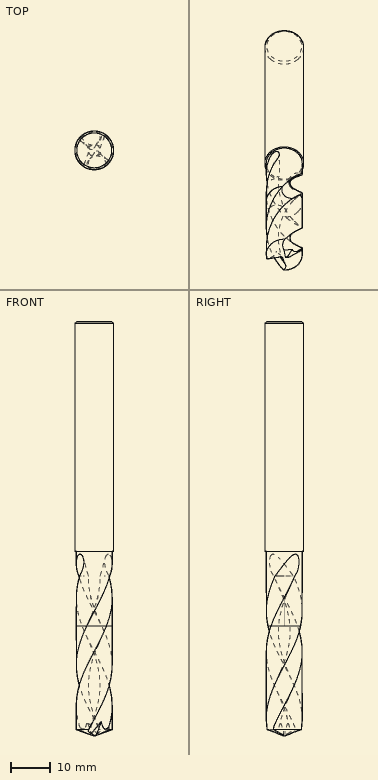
import cadquery as cq
import math

total_length = 106.0
shank_diameter = 10.0
drill_diameter = 9.2
drill_radius = drill_diameter / 2
shank_start = 47.3
cutting_length = 28.2
shank_chamfer = 0.5
point_angle = 140.0
point_height = drill_radius / math.tan(math.radians(point_angle / 2))

flute_count = 2
flute_pitch = 55.1
flute_start_angle = 275.0
core_radius = 1.5
flute_radius = 2.5
flute_offset = core_radius + flute_radius
helix_end = 40.9
runout_end = 46.5
runout_turn = 36.0

gash_ridge_start = cq.Vector(1.0, -0.2, 1.3)
gash_ridge_direction = cq.Vector(1.0, -0.9, 3.0)
gash_length = 3.0
gash_flank_angle = 60.0
gash_depth = 14.8


def make_flute(start_angle):
    """Return the cutter of one flute: a twisted round bar and a straight rising run-out."""
    twist = 360 * helix_end / flute_pitch
    start_circle = cq.Wire.makeCircle(
        flute_radius, cq.Vector(flute_offset, 0, 0), cq.Vector(0, 0, 1)
    )
    helix = cq.Solid.extrudeLinearWithRotation(
        start_circle, [], cq.Vector(0, 0, 0), cq.Vector(0, 0, helix_end), twist
    ).rotate(cq.Vector(0, 0, 0), cq.Vector(0, 0, 1), start_angle)

    rise = runout_end - helix_end
    exit_distance = drill_radius + flute_radius
    outward = exit_distance * math.cos(math.radians(runout_turn)) - flute_offset
    sideways = exit_distance * math.sin(math.radians(runout_turn))
    end_circle = cq.Wire.makeCircle(
        flute_radius, cq.Vector(flute_offset, 0, helix_end), cq.Vector(0, 0, 1)
    )
    runout = cq.Solid.extrudeLinear(
        end_circle, [], cq.Vector(outward, sideways, rise)
    ).rotate(cq.Vector(0, 0, 0), cq.Vector(0, 0, 1), start_angle + twist)
    return helix, runout


def cut_flutes(body):
    for index in range(flute_count):
        for cutter in make_flute(flute_start_angle + index * 360 / flute_count):
            body = body.cut(cq.Workplane(cutter))
    return body


def make_gash():
    """Return the cutter of the gash on the -Y side."""
    flank_width = gash_depth / math.tan(math.radians(gash_flank_angle))
    wall_foot = gash_ridge_start - cq.Vector(0, 0, gash_depth)
    flank_foot = wall_foot - cq.Vector(flank_width, 0, 0)
    profile = cq.Wire.makePolygon([gash_ridge_start, flank_foot, wall_foot], close=True)
    sweep = gash_ridge_direction * (gash_length / abs(gash_ridge_direction.y))
    return cq.Workplane(cq.Solid.extrudeLinear(profile, [], sweep))


def cut_gashes(body):
    gash = make_gash()
    for index in range(flute_count):
        body = body.cut(gash.rotate((0, 0, 0), (0, 0, 1), index * 360 / flute_count))
    return body


def make_cutting_part():
    body = (
        cq.Workplane("XZ")
        .polyline([
            (0, 0),
            (drill_radius, point_height),
            (drill_radius, cutting_length),
            (0, cutting_length),
        ])
        .close()
        .revolve(360, (0, 0), (0, 1))
    )
    return cut_gashes(cut_flutes(body))


def make_shank_part():
    neck = (
        cq.Workplane("XY", origin=(0, 0, cutting_length))
        .circle(drill_radius)
        .extrude(shank_start - cutting_length)
    )
    shank = (
        cq.Workplane("XY", origin=(0, 0, shank_start))
        .circle(shank_diameter / 2)
        .extrude(total_length - shank_start)
        .faces(">Z")
        .chamfer(shank_chamfer)
    )
    return cut_flutes(neck.union(shank))


cutting_part = make_cutting_part()
shank_part = make_shank_part()
result = cq.Compound.makeCompound([cutting_part.val(), shank_part.val()])